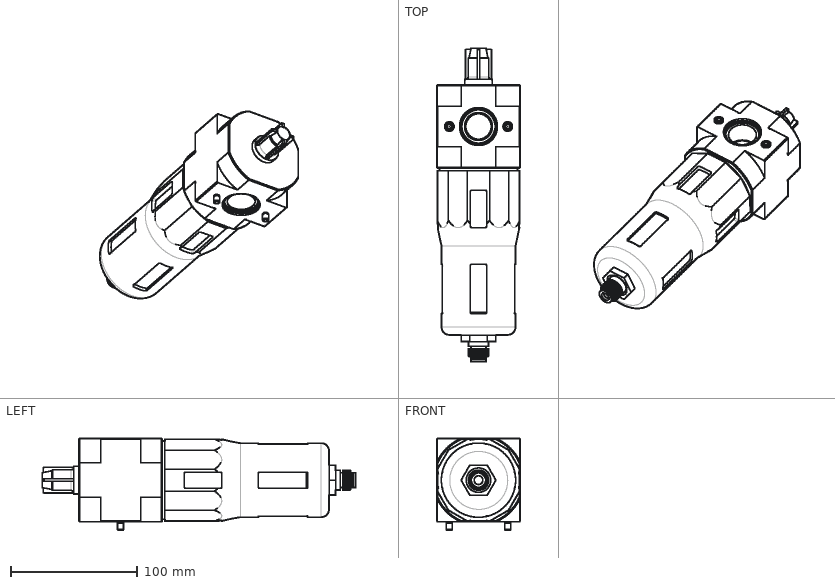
import cadquery as cq
import math


housing_width = 66.0
housing_half = housing_width / 2
housing_corner_radius = 35.7
arm_width = 31.8
housing_chamfer = 0.7

mouth_diameter = 30.0
mouth_chamfer = 1.0
counterbore_diameter = mouth_diameter - 2 * mouth_chamfer
counterbore_depth = 2.2
inner_counterbore_diameter = 26.3
inner_counterbore_depth = 3.0
thread_diameter = 22.0
thread_depth = 19.9
port_diameter = 20.0

knob_end = 62.0
knob_collar_diameter = 22.0
knob_collar_end = 37.2
knob_core_diameter = 16.5
knob_taper_start = 53.9
knob_step = 0.7
knob_tip_diameter = 12.0
knob_rib_span = 20.5
knob_rib_end = 61.3
knob_rib_width = 2.0
knob_rib_chamfer = 0.7

screw_spacing = 46.2
screw_end = -39.7
screw_thread_diameter = 5.0
screw_neck_diameter = 3.7
screw_neck_end = -34.0
screw_head_diameter = 7.5
screw_head_height = 4.2
screw_head_chamfer = 0.5
screw_tip_chamfer = 0.7
screw_socket_size = 3.7
screw_socket_depth = 2.5
screw_socket_point_depth = 1.0
screw_socket_point_angle = 60

neck_diameter = 62.0
facet_start = -35.0
facet_count = 12
facet_width = 65.0
facet_corner_radius = facet_width / 2 / math.cos(math.pi / facet_count)
cone_start = -74.5
cone_end = -94.5
bowl_diameter = 58.8
bowl_radius = bowl_diameter / 2
bowl_end = -165.0
bowl_fillet = 6.5

window_width = 13.0
window_corner = 1.2
upper_window_span = (-50.5, -80.2)
upper_window_floor_radius = 29.0
lower_window_span = (-109.0, -148.2)
lower_window_floor_radius = 27.5
lower_window_ramp_length = 1.2

hex_width = 23.8
hex_end = -170.3
hex_corner_diameter = hex_width / math.cos(math.pi / 6)
hex_countersink_diameter = 19.4
hex_countersink_depth = 1.2
shank_diameter = 16.0
shank_end = -174.0
drain_stem_diameter = 12.0
knurl_start = -175.7
knurl_band = 1.0
knurl_end = -182.2
knurl_chamfer = 0.7
knurl_groove_count = 24
knurl_groove_width = 0.7
knurl_groove_depth = 1.0
knurl_ring_start = -179.7
knurl_ring_end = -180.2
knurl_ring_diameter = 15.1
drain_end = -186.2
drain_groove_diameter = 11.0
drain_groove_start = -183.5
drain_groove_end = -184.5
drain_hole_diameter = 7.0
drain_hole_depth = 2.5


def y_extrude(sketch_plane_y, far_y):
    """Workplane facing -Y at the first Y station, and the length down to the second."""
    return cq.Workplane("XZ", origin=(0, sketch_plane_y, 0)), sketch_plane_y - far_y


def y_cylinder(diameter, high_y, low_y):
    plane, length = y_extrude(high_y, low_y)
    return plane.circle(diameter / 2).extrude(length)


def revolve_about_y(points):
    """Solid of revolution from (radius, y) points, closed along the Y axis."""
    return cq.Workplane("XY").polyline(points).close().revolve(360, (0, 0, 0), (0, 1, 0))


def make_screw(x):
    profile = [
        (0, screw_end),
        (screw_thread_diameter / 2 - screw_tip_chamfer, screw_end),
        (screw_thread_diameter / 2, screw_end + screw_tip_chamfer),
        (screw_thread_diameter / 2, screw_neck_end),
        (screw_neck_diameter / 2, screw_neck_end),
        (screw_neck_diameter / 2, housing_half - screw_head_height),
        (screw_head_diameter / 2, housing_half - screw_head_height),
        (screw_head_diameter / 2, housing_half - screw_head_chamfer),
        (screw_head_diameter / 2 - screw_head_chamfer, housing_half),
        (0, housing_half),
    ]
    screw = cq.Workplane("XZ").polyline(profile).close().revolve(360, (0, 0, 0), (0, 1, 0))
    socket = (
        cq.Workplane("XY", origin=(0, 0, housing_half))
        .polygon(6, screw_socket_size, circumscribed=True)
        .extrude(-screw_socket_depth)
    )
    socket_point = (
        cq.Workplane("XY", origin=(0, 0, housing_half - screw_socket_depth))
        .circle(screw_socket_size / 2)
        .extrude(-screw_socket_point_depth, taper=screw_socket_point_angle)
    )
    return screw.cut(socket).cut(socket_point).translate((x, 0, 0))


def make_housing_block():
    block = cq.Workplane("XY").box(housing_width, housing_width, housing_width)
    rounded = y_cylinder(2 * housing_corner_radius, housing_half, -housing_half)
    rounded = rounded.intersect(block).faces("<Y or >Y").chamfer(housing_chamfer)
    arms = cq.Workplane("XY").box(housing_width, arm_width, housing_width)
    arms = arms.edges("|Y").chamfer(housing_chamfer)
    return rounded.union(arms)


def make_port():
    """Through bore that steps outwards towards the mouths on both Z faces."""
    port = cq.Workplane("XY").circle(port_diameter / 2).extrude(housing_width, both=True)
    steps = [
        (thread_diameter, thread_depth),
        (inner_counterbore_diameter, inner_counterbore_depth),
        (counterbore_diameter, counterbore_depth),
    ]
    face = cq.Workplane("XY", origin=(0, 0, housing_half))
    cuts = [face.circle(diameter / 2).extrude(-depth) for diameter, depth in steps]
    cuts.append(face.circle(mouth_diameter / 2).extrude(-mouth_chamfer, taper=45))
    for step in cuts:
        port = port.union(step).union(step.mirror("XY"))
    return port


def make_screw_hole(x):
    bore = cq.Workplane("XY").circle(screw_neck_diameter / 2).extrude(housing_width, both=True)
    seat = (
        cq.Workplane("XY", origin=(0, 0, housing_half))
        .circle(screw_head_diameter / 2)
        .extrude(-screw_head_height)
    )
    return bore.union(seat).translate((x, 0, 0))


def make_knob():
    core_radius = knob_core_diameter / 2
    flare_radius = knob_rib_span / 2 - core_radius
    flare_mid = flare_radius * (1 - math.sin(math.pi / 4))
    knob = (
        cq.Workplane("XY")
        .moveTo(0, housing_half)
        .lineTo(knob_collar_diameter / 2, housing_half)
        .lineTo(knob_collar_diameter / 2, knob_collar_end)
        .lineTo(core_radius + flare_radius, knob_collar_end)
        .threePointArc(
            (core_radius + flare_mid, knob_collar_end + flare_mid),
            (core_radius, knob_collar_end + flare_radius),
        )
        .lineTo(core_radius, knob_taper_start)
        .lineTo(core_radius - knob_step, knob_taper_start + knob_step)
        .lineTo(knob_tip_diameter / 2, knob_end)
        .lineTo(0, knob_end)
        .close()
        .revolve(360, (0, 0, 0), (0, 1, 0))
    )
    rib_length = knob_rib_end - housing_half
    rib_middle = (knob_rib_end + housing_half) / 2
    rib = cq.Workplane("XY").box(knob_rib_span, rib_length, knob_rib_width)
    rib = rib.edges("|Z and >Y").chamfer(knob_rib_chamfer).translate((0, rib_middle, 0))
    return knob.union(rib).union(rib.rotate((0, 0, 0), (0, 1, 0), 90))


def make_housing():
    housing = make_housing_block().union(make_knob()).cut(make_port())
    for x in screw_positions:
        housing = housing.cut(make_screw_hole(x))
    return housing


def make_bowl_shell():
    plane, length = y_extrude(facet_start, cone_end)
    prism = plane.polygon(facet_count, 2 * facet_corner_radius).extrude(length)
    prism = prism.rotate((0, 0, 0), (0, 1, 0), 180 / facet_count)
    envelope = revolve_about_y([
        (0, facet_start),
        (facet_corner_radius, facet_start),
        (facet_corner_radius, cone_start),
        (bowl_radius, cone_end),
        (0, cone_end),
    ])
    neck = y_cylinder(neck_diameter, -housing_half, facet_start)
    barrel = y_cylinder(bowl_diameter, cone_end, bowl_end).faces("<Y").edges().fillet(bowl_fillet)
    return prism.intersect(envelope).union(neck).union(barrel)


def make_windows(span, floor):
    """Four rounded window cutters that stop at the given floor body."""
    length = span[0] - span[1]
    middle = (span[0] + span[1]) / 2
    cutter = (
        cq.Workplane("XY")
        .rect(window_width, length)
        .extrude(housing_width)
        .edges("|Z")
        .fillet(window_corner)
        .translate((0, middle, 0))
        .cut(floor)
    )
    return [cutter.rotate((0, 0, 0), (0, 1, 0), angle) for angle in (0, 90, 180, 270)]


def ring_cutter(floor_diameter, high_y, low_y):
    """Cutter for a ring groove in the drain, down to the given floor diameter."""
    ring = y_cylinder(shank_diameter, high_y, low_y)
    return ring.cut(y_cylinder(floor_diameter, high_y, low_y))


def make_drain():
    plane, length = y_extrude(bowl_end, hex_end)
    drain = plane.polygon(6, hex_corner_diameter).extrude(length)
    drain = drain.cut(revolve_about_y([
        (0, hex_end),
        (hex_countersink_diameter / 2, hex_end),
        (shank_diameter / 2, hex_end + hex_countersink_depth),
        (0, hex_end + hex_countersink_depth),
    ]))
    drain = drain.union(y_cylinder(shank_diameter, hex_end + hex_countersink_depth, shank_end))
    drain = drain.union(y_cylinder(drain_stem_diameter, shank_end, drain_end))
    knurl = y_cylinder(shank_diameter, knurl_start, knurl_end).faces("<Y").chamfer(knurl_chamfer)
    groove_plane, groove_length = y_extrude(knurl_start - knurl_band, knurl_end)
    grooves = (
        groove_plane
        .polarArray(shank_diameter / 2, 0, 360, knurl_groove_count)
        .rect(2 * knurl_groove_depth, knurl_groove_width)
        .extrude(groove_length)
    )
    split = ring_cutter(knurl_ring_diameter, knurl_ring_start, knurl_ring_end)
    drain = drain.union(knurl.cut(grooves).cut(split))
    ring = ring_cutter(drain_groove_diameter, drain_groove_start, drain_groove_end)
    hole = y_cylinder(drain_hole_diameter, drain_end + drain_hole_depth, drain_end)
    return drain.cut(ring).cut(hole)


def make_bowl():
    bowl = make_bowl_shell()
    upper_floor = y_cylinder(2 * upper_window_floor_radius, *upper_window_span)
    lower_start, lower_end = lower_window_span
    lower_floor = revolve_about_y([
        (0, lower_start),
        (lower_window_floor_radius, lower_start),
        (lower_window_floor_radius, lower_end + lower_window_ramp_length),
        (bowl_radius, lower_end),
        (0, lower_end),
    ])
    for cutter in make_windows(upper_window_span, upper_floor):
        bowl = bowl.cut(cutter)
    for cutter in make_windows(lower_window_span, lower_floor):
        bowl = bowl.cut(cutter)
    return bowl.union(make_drain())


screw_positions = (-screw_spacing / 2, screw_spacing / 2)
housing = make_housing()
bowl = make_bowl()
screws = [make_screw(x) for x in screw_positions]

result = cq.Compound.makeCompound([housing.val(), bowl.val(), *[screw.val() for screw in screws]])